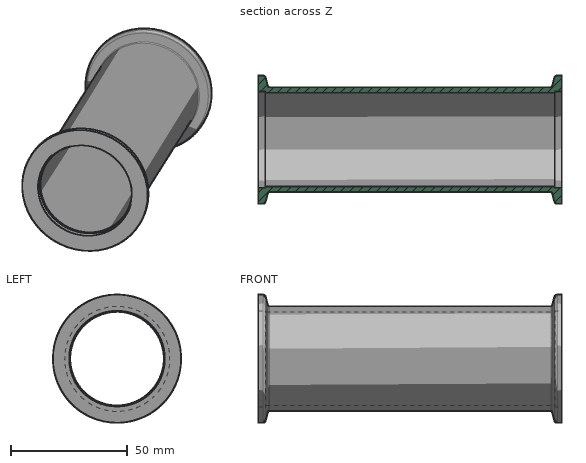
import cadquery as cq
import math

LENGTH = 130.0
FLANGE_RADIUS = 55.0 / 2
TUBE_RADIUS = 22.5
BORE_RADIUS = 20.0

RECESS_RADIUS = 20.5
RECESS_DEPTH = 3.0
RIM_WIDTH = 3.0
BACK_ANGLE = 15.0
RIM_FILLET = 1.3
NECK_FILLET = 0.5

half_length = LENGTH / 2
back_taper = (FLANGE_RADIUS - TUBE_RADIUS) * math.tan(math.radians(BACK_ANGLE))
rim_edge_x = half_length - RIM_WIDTH
neck_x = rim_edge_x - back_taper


def make_body():
    """Revolve the solid outline of the tube and its two conical-backed flanges."""
    outline = [
        (-half_length, 0),
        (-half_length, FLANGE_RADIUS),
        (-rim_edge_x, FLANGE_RADIUS),
        (-neck_x, TUBE_RADIUS),
        (neck_x, TUBE_RADIUS),
        (rim_edge_x, FLANGE_RADIUS),
        (half_length, FLANGE_RADIUS),
        (half_length, 0),
    ]
    return cq.Workplane("XY").polyline(outline).close().revolve(360, (0, 0, 0), (1, 0, 0))


def circle_edges_at(body, x, radius):
    """Select the circular edge around the X axis at the given station and radius."""
    margin = 0.1
    reach = radius + margin
    box = cq.selectors.BoxSelector(
        (x - margin, -reach, -reach), (x + margin, reach, reach), boundingbox=True
    )
    return body.edges(box)


def round_flange_backs(body):
    """Round each flange's rim and the neck where its back meets the tube."""
    for side in (-1, 1):
        body = circle_edges_at(body, side * rim_edge_x, FLANGE_RADIUS).fillet(RIM_FILLET)
        body = circle_edges_at(body, side * neck_x, TUBE_RADIUS).fillet(NECK_FILLET)
    return body


def cylinder_along_x(start_x, length, radius):
    return cq.Workplane("YZ").workplane(offset=start_x).circle(radius).extrude(length)


def cut_bore(body):
    """Cut the through bore and the shallow centring recess in each end face."""
    body = body.cut(cylinder_along_x(-half_length, LENGTH, BORE_RADIUS))
    for start_x in (-half_length, half_length - RECESS_DEPTH):
        body = body.cut(cylinder_along_x(start_x, RECESS_DEPTH, RECESS_RADIUS))
    return body


result = cut_bore(round_flange_backs(make_body()))